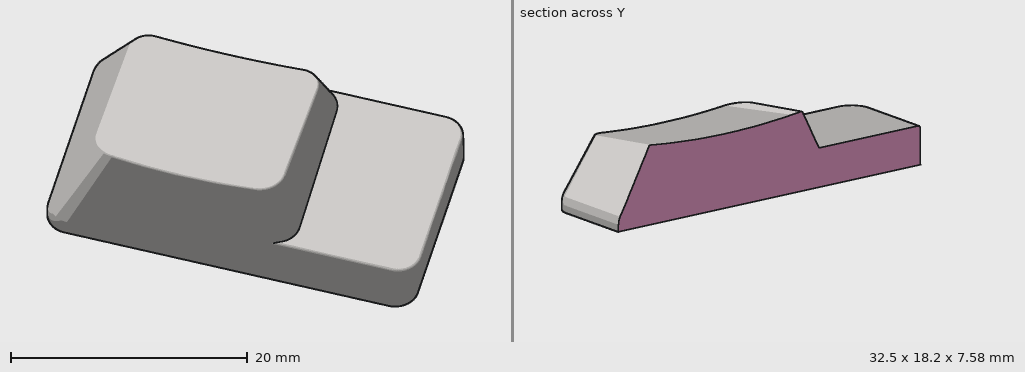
import cadquery as cq
import math

length = 32.45
width = 18.17
corner_radius = 2.0
half_length = length / 2
half_width = width / 2

band_height = 0.65
shoulder_height = 0.68
wall_foot_z = band_height + shoulder_height

left_lean = 0.5
front_lean = 0.545
back_lean = 0.08

key_foot_right = 6.52
key_top_left = -12.82
key_top_right = 3.45
key_blank_z = 7.25

step_height = 3.5
step_left = -1.62
step_rim_fillet = 0.32

dish_radius = 69.77
dish_slope = 0.119
dish_center_x = -4.7
dish_bottom_z = 6.6
dish_length = 64.9
top_rim_fillet = 0.25


def rounded_section(left, right, front, back, plane):
    """Rounded rectangle drawn in the given plane."""
    sketch = (
        cq.Sketch()
        .push([((left + right) / 2, (front + back) / 2)])
        .rect(right - left, back - front)
        .reset()
        .vertices()
        .fillet(corner_radius)
    )
    return sketch.moved(cq.Location(plane))


def shoulder_section(fraction):
    """Footprint section at a fraction of the shoulder height.

    The inset grows with the square of the height, so the shoulder leaves the
    band upright and ends with the lean of the walls.
    """
    inset = shoulder_height / 2 * fraction**2
    return rounded_section(
        -half_length + left_lean * inset,
        half_length,
        -half_width + front_lean * inset,
        half_width - back_lean * inset,
        cq.Plane(origin=(0, 0, band_height + shoulder_height * fraction)),
    )


def make_base():
    """Upright band with the rounded shoulder on top."""
    band = cq.Workplane("XY").rect(length, width).extrude(band_height).edges("|Z").fillet(corner_radius)
    sections = [shoulder_section(fraction) for fraction in (0, 0.5, 1)]
    shoulder = cq.Workplane("XY").placeSketch(*sections).loft()
    return band.union(shoulder)


def leaning_block(foot_right, top_left, top_right, top_z, top_slope):
    """Block above the shoulder, with a top that falls toward the back.

    top_z is the height of the top plane at y = 0.
    """
    foot_inset = shoulder_height / 2
    foot_left = -half_length + left_lean * foot_inset
    foot_front = -half_width + front_lean * foot_inset
    foot_back = half_width - back_lean * foot_inset
    foot_plane = cq.Plane(origin=(0, 0, wall_foot_z))
    foot = rounded_section(foot_left, foot_right, foot_front, foot_back, foot_plane)

    rise = top_z - wall_foot_z
    front_y = (foot_front + front_lean * rise) / (1 + front_lean * top_slope)
    back_y = (foot_back - back_lean * rise) / (1 - back_lean * top_slope)
    tilt = math.atan(top_slope)
    normal = (0, math.sin(tilt), math.cos(tilt))
    top_plane = cq.Plane(origin=(0, 0, top_z), xDir=(1, 0, 0), normal=normal)
    stretch = 1 / math.cos(tilt)
    top = rounded_section(top_left, top_right, front_y * stretch, back_y * stretch, top_plane)
    return cq.Workplane("XY").placeSketch(foot, top).loft(ruled=True)


def make_dish():
    """Large cylinder whose underside shapes the top of the key."""
    tilt = math.atan(dish_slope)
    axis = cq.Vector(0, math.cos(tilt), -math.sin(tilt))
    normal = cq.Vector(0, math.sin(tilt), math.cos(tilt))
    bottom = cq.Vector(dish_center_x, 0, dish_bottom_z)
    start = bottom + normal * dish_radius - axis * (dish_length / 2)
    return cq.Workplane(obj=cq.Solid.makeCylinder(dish_radius, dish_length, start, axis))


def make_key():
    """Raised key with a dished top and a softened rim."""
    key = leaning_block(key_foot_right, key_top_left, key_top_right, key_blank_z, dish_slope)
    return key.cut(make_dish()).faces(">Z").edges().fillet(top_rim_fillet)


def make_step():
    """Low step with a softened rim, trimmed to end inside the key."""
    top_left = -half_length + left_lean * step_height
    step = leaning_block(half_length, top_left, half_length, step_height, 0)
    step = step.faces(">Z").edges().fillet(step_rim_fillet)
    keep = cq.Workplane("XY").box(half_length - step_left, width, step_height, centered=(False, True, False))
    return step.intersect(keep.translate((step_left, 0, 0)))


result = make_base().union(make_key()).union(make_step()).clean()